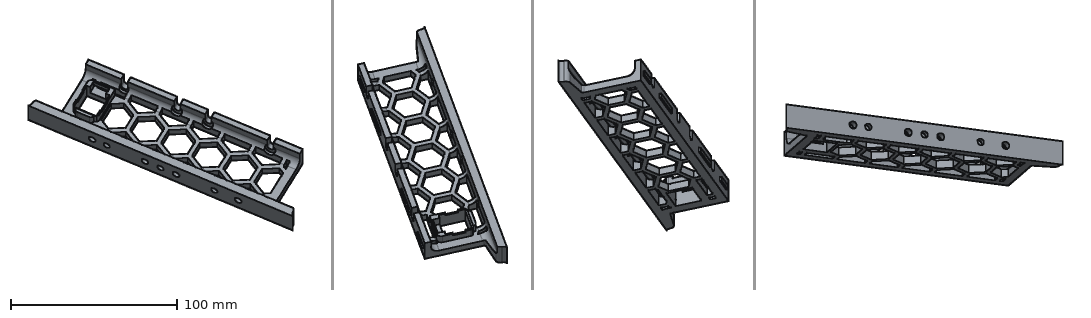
import cadquery as cq
import math

HEIGHT = 15.0
FLOOR = 5.0
FRONT_WALL = 5.5
BACK_FACE = 46.7
BACK_WALL = 4.0
BACK_INNER = BACK_FACE - BACK_WALL
SECTION_FILLET = 5.0

HALF_LENGTH = 89.5
HALF_TRAY = 72.5
FLARE_START = 8.8
FLARE_FILLET = 1.0
FLARE_END = (86.1, 6.0)
SHOULDER_MID = (87.5, 4.8)
SHOULDER_END = (88.0, 3.2)
LIP_START = (88.0, 2.7)
LIP_MID = (88.6, 0.9)

CELL_ROW_SPAN = 126.0
CELLS_IN_ROW = 7
CELL_PITCH = CELL_ROW_SPAN / (CELLS_IN_ROW - 1)
CELL_RIB = 3.0
CELL_FLATS = CELL_PITCH - CELL_RIB
ROW_PITCH = CELL_PITCH * math.sin(math.radians(60))
ROW_CENTER = 23.6
WINDOW_HALF = 66.5
WINDOW_FRONT = 5.9
WINDOW_BACK = 40.8
WINDOW_FLARE = 0.5
WINDOW_FLARE_LENGTH = 1.8

HOLE_Z = HEIGHT / 2
SCREW_DIAMETER = 4.5
SCREW_PITCH = CELL_PITCH / 2
LEFT_SCREW_X = -46.2
PITCHED_SCREW_X = [-SCREW_PITCH, SCREW_PITCH, 5 * SCREW_PITCH]
PIN_DIAMETER = 4.1
PIN_DEPTH = 3.5
PIN_SPACING = 36.3

LEFT_SLOT_WIDTH = 4.5
LEFT_SLOT_Z = 8.6
LEFT_RECESS_DIAMETER = 6.0
SLOT_WIDTH = 4.1
SLOT_Z = 9.1
RECESS_DIAMETER = 7.0

PAD_DEPTH = 1.0
PAD_BOTTOM = 5.9
PAD_HEIGHT = 2.9
PAD_BEVEL = 0.5
PAD_SPANS = [(22.7, 41.9), (57.8, 68.7)]

SOCKET_LEFT = -67.0
SOCKET_RIGHT = -49.5
SOCKET_FRONT = 14.0
SOCKET_BACK = 37.0
SOCKET_TOP = 11.0
SOCKET_BACK_ROUND = 3.0
SOCKET_FRONT_ROUND = 2.5
CAVITY_LEFT = -65.9
CAVITY_RIGHT = -50.7
CAVITY_FRONT = 15.0
CAVITY_BACK = 31.7
LEAD_IN = 1.0
SOCKET_LIP_LEFT = -64.5
SOCKET_LIP_RIGHT = -52.0
SOCKET_LIP_FRONT = 11.8
SOCKET_LIP_ROUND = SOCKET_FRONT - SOCKET_LIP_FRONT
NOTCH_FRONT = 19.3
NOTCH_BACK = 27.4
NOTCH_DEPTH = 1.6
POCKET_LEFT = -63.7
POCKET_RIGHT = -53.0
POCKET_BACK = 36.0
CATCH_WINDOW_TOP = 7.7

WEB_RIGHT = -48.7
OUTER_WEB_RIGHT = -2 * CELL_PITCH


def block(x0, x1, y0, y1, z0, z1):
    return cq.Workplane("XY").box(x1 - x0, y1 - y0, z1 - z0, centered=False).translate((x0, y0, z0))


def cylinder_along_y(x, z, diameter, y0, y1):
    return cq.Workplane("XZ").center(x, z).circle(diameter / 2).extrude(y0 - y1).translate((0, y0, 0))


def channel():
    """U-shaped section running the full length."""
    section = (
        cq.Workplane("YZ")
        .moveTo(0, 0)
        .lineTo(BACK_FACE, 0)
        .lineTo(BACK_FACE, HEIGHT)
        .lineTo(BACK_INNER, HEIGHT)
        .lineTo(BACK_INNER, FLOOR + SECTION_FILLET)
        .radiusArc((BACK_INNER - SECTION_FILLET, FLOOR), SECTION_FILLET)
        .lineTo(FRONT_WALL + SECTION_FILLET, FLOOR)
        .radiusArc((FRONT_WALL, FLOOR + SECTION_FILLET), SECTION_FILLET)
        .lineTo(FRONT_WALL, HEIGHT)
        .lineTo(0, HEIGHT)
        .close()
    )
    return section.extrude(HALF_LENGTH, both=True)


def plan():
    """Tray with a wider front wall whose ends run out to a thin lip."""
    half = (
        cq.Workplane("XY")
        .moveTo(0, 0)
        .lineTo(HALF_LENGTH, 0)
        .threePointArc(LIP_MID, LIP_START)
        .lineTo(*SHOULDER_END)
        .threePointArc(SHOULDER_MID, FLARE_END)
        .lineTo(HALF_TRAY, FLARE_START)
        .lineTo(HALF_TRAY, BACK_FACE)
        .lineTo(0, BACK_FACE)
        .close()
        .extrude(HEIGHT)
    )
    flare_corner = cq.NearestToPointSelector((HALF_TRAY, FLARE_START, HEIGHT / 2))
    half = half.edges(flare_corner).fillet(FLARE_FILLET)
    return half.union(half.mirror("YZ"))


def cells(centers):
    corner_diameter = CELL_FLATS / math.cos(math.radians(30))
    hexagon = cq.Workplane("XY").polygon(6, corner_diameter).extrude(HEIGHT)
    hexagon = hexagon.rotate((0, 0, 0), (0, 0, 1), 30).val()
    return cq.Workplane("XY").pushPoints(centers).eachpoint(hexagon.located, combine=False)


def honeycomb():
    """Hexagonal openings in three staggered rows, trimmed to the floor window and kept off the socket."""
    last = CELLS_IN_ROW // 2 + 1
    columns = range(-last, last + 1)
    middle_centers = [(i * CELL_PITCH, ROW_CENTER) for i in columns]
    outer_centers = [
        ((i + 0.5) * CELL_PITCH, ROW_CENTER + side * ROW_PITCH) for i in columns for side in (-1, 1)
    ]
    window = (
        cq.Workplane("XY")
        .polyline([
            (-WINDOW_HALF - WINDOW_FLARE, WINDOW_FRONT),
            (WINDOW_HALF + WINDOW_FLARE, WINDOW_FRONT),
            (WINDOW_HALF, WINDOW_FRONT + WINDOW_FLARE_LENGTH),
            (WINDOW_HALF, WINDOW_BACK),
            (-WINDOW_HALF, WINDOW_BACK),
            (-WINDOW_HALF, WINDOW_FRONT + WINDOW_FLARE_LENGTH),
        ])
        .close()
        .extrude(HEIGHT)
    )
    middle_web = block(SOCKET_LEFT, WEB_RIGHT, SOCKET_LIP_FRONT, SOCKET_BACK, 0, HEIGHT)
    outer_web = block(SOCKET_LEFT, OUTER_WEB_RIGHT, SOCKET_LIP_FRONT, SOCKET_BACK, 0, HEIGHT)
    middle = window.intersect(cells(middle_centers)).cut(middle_web)
    outer = window.intersect(cells(outer_centers)).cut(outer_web)
    return middle.union(outer)


def slot(x, width, bottom_center, recess_diameter):
    """Round-bottomed slot in the back wall, open at the top, with a round recess for the screw head."""
    recess_front = BACK_INNER - SECTION_FILLET
    round_bottom = cylinder_along_y(x, bottom_center, width, recess_front, BACK_FACE)
    upper = block(x - width / 2, x + width / 2, recess_front, BACK_FACE, bottom_center, HEIGHT)
    recess = cylinder_along_y(x, HOLE_Z, recess_diameter, recess_front, BACK_INNER)
    return round_bottom.union(upper).union(recess)


def pad(inner, outer):
    """Raised pad on the back face, bevelled at the end nearer the middle."""
    return (
        cq.Workplane("XY")
        .workplane(offset=PAD_BOTTOM)
        .polyline([
            (inner, BACK_FACE),
            (outer, BACK_FACE),
            (outer, BACK_FACE + PAD_DEPTH),
            (inner + PAD_BEVEL, BACK_FACE + PAD_DEPTH),
        ])
        .close()
        .extrude(PAD_HEIGHT)
    )


def socket():
    """Walls of the socket with its rounded front lip, standing on the floor."""
    walls = block(SOCKET_LEFT, SOCKET_RIGHT, SOCKET_FRONT, SOCKET_BACK, 0, SOCKET_TOP)
    walls = walls.edges("|Z and <Y").fillet(SOCKET_FRONT_ROUND)
    walls = walls.edges("|Z and >Y and <X").fillet(SOCKET_BACK_ROUND)
    lip = block(SOCKET_LIP_LEFT, SOCKET_LIP_RIGHT, SOCKET_LIP_FRONT, CAVITY_FRONT, 0, SOCKET_TOP)
    return walls.union(lip.edges("|Z and <Y").fillet(SOCKET_LIP_ROUND))


def socket_openings():
    cavity = block(CAVITY_LEFT, CAVITY_RIGHT, CAVITY_FRONT, CAVITY_BACK, 0, HEIGHT)
    lead_in = (
        cq.Workplane("YZ")
        .workplane(offset=CAVITY_LEFT)
        .polyline([
            (CAVITY_FRONT, SOCKET_TOP - LEAD_IN),
            (CAVITY_FRONT, SOCKET_TOP),
            (CAVITY_FRONT - LEAD_IN, SOCKET_TOP),
        ])
        .close()
        .extrude(CAVITY_RIGHT - CAVITY_LEFT)
    )
    notch = block(SOCKET_LEFT, SOCKET_RIGHT, NOTCH_FRONT, NOTCH_BACK, SOCKET_TOP - NOTCH_DEPTH, SOCKET_TOP)
    pocket = block(POCKET_LEFT, POCKET_RIGHT, CAVITY_BACK, POCKET_BACK, FLOOR, SOCKET_TOP)
    catch_window = block(POCKET_LEFT, POCKET_RIGHT, POCKET_BACK, SOCKET_BACK, FLOOR, CATCH_WINDOW_TOP)
    return cavity.union(lead_in).union(notch).union(pocket).union(catch_window)


result = channel().intersect(plan()).cut(honeycomb())
result = result.union(socket()).cut(socket_openings())

for x in [LEFT_SCREW_X] + PITCHED_SCREW_X:
    result = result.cut(cylinder_along_y(x, HOLE_Z, SCREW_DIAMETER, 0, FRONT_WALL + SECTION_FILLET))

for x in (-PIN_SPACING, 0, PIN_SPACING):
    result = result.cut(cylinder_along_y(x, HOLE_Z, PIN_DIAMETER, 0, PIN_DEPTH))

result = result.cut(slot(LEFT_SCREW_X, LEFT_SLOT_WIDTH, LEFT_SLOT_Z, LEFT_RECESS_DIAMETER))
for x in PITCHED_SCREW_X:
    result = result.cut(slot(x, SLOT_WIDTH, SLOT_Z, RECESS_DIAMETER))

for inner, outer in PAD_SPANS:
    right_pad = pad(inner, outer)
    result = result.union(right_pad).union(right_pad.mirror("YZ"))